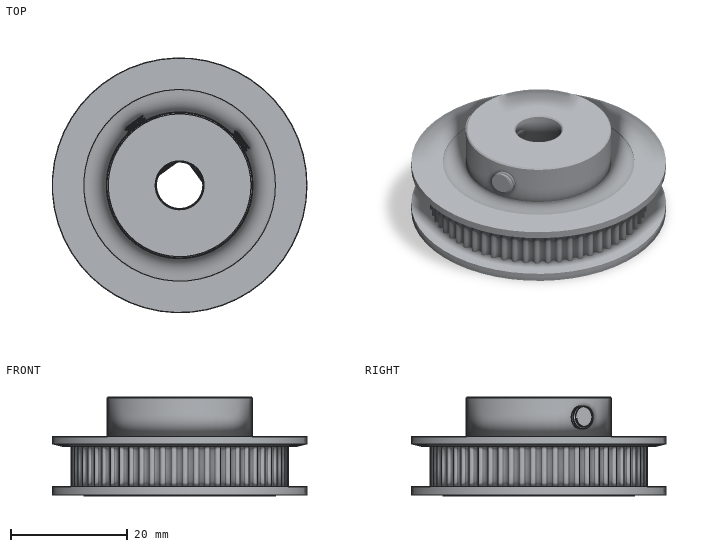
import cadquery as cq
import math

core_diameter = 33.0
core_step = 0.15

flange_diameter = 43.85
lower_flange_top = 1.6
upper_flange_bottom = 8.5
upper_flange_rim_bottom = 8.95
upper_flange_top = 10.18
flange_cone_diameter = 40.35


tooth_count = 60
tooth_tip_diameter = 37.45
tooth_depth = 0.75

hub_diameter = 25.0
hub_top = 17.0
bore_diameter = 8.0
edge_chamfer = 0.2
hub_base_chamfer = 0.15

screw_angles = (36.0, 126.0)
screw_height = 13.45
screw_hole_diameter = 4.0
thread_diameter = 3.9
screw_core_diameter = 3.1
screw_inner_end = 3.5
screw_outer_end = 13.45
screw_length = screw_outer_end - screw_inner_end
thread_pitch = 0.7
thread_root_width = 0.55
thread_crest_width = 0.18
thread_embed = 0.1
thread_start_angle = 180.0


def disc(diameter, bottom, top):
    """Plain cylinder on the Z axis between two heights."""
    return cq.Workplane("XY").workplane(offset=bottom).circle(diameter / 2).extrude(top - bottom)


def rim_point(radius, pitches):
    """Point on the rim, counted in tooth pitches from the groove at the -Y side."""
    angle = 2 * math.pi * pitches / tooth_count - math.pi / 2
    return (radius * math.cos(angle), radius * math.sin(angle))


def make_toothed_rim():
    """Timing-belt rim: each pitch is one groove arc followed by one tooth arc."""
    tip_radius = tooth_tip_diameter / 2
    root_radius = tip_radius - tooth_depth
    flank_radius = (tip_radius + root_radius) / 2
    profile = cq.Workplane("XY").workplane(offset=lower_flange_top)
    profile = profile.moveTo(*rim_point(flank_radius, -0.25))
    for groove in range(tooth_count):
        profile = profile.threePointArc(
            rim_point(root_radius, groove), rim_point(flank_radius, groove + 0.25)
        )
        profile = profile.threePointArc(
            rim_point(tip_radius, groove + 0.5), rim_point(flank_radius, groove + 0.75)
        )
    return profile.close().extrude(upper_flange_bottom - lower_flange_top)


def make_lower_flange():
    """Flat flange with a thin round step standing out below it."""
    flange = disc(flange_diameter, core_step, lower_flange_top)
    return flange.union(disc(core_diameter, 0, core_step))


def make_upper_flange():
    """Flange with a conical underside and a shallow round recess sunk in its top."""
    flange = (
        cq.Workplane("XZ")
        .moveTo(0, upper_flange_bottom)
        .lineTo(flange_cone_diameter / 2, upper_flange_bottom)
        .lineTo(flange_diameter / 2, upper_flange_rim_bottom)
        .lineTo(flange_diameter / 2, upper_flange_top)
        .lineTo(0, upper_flange_top)
        .close()
        .revolve(360, (0, 0, 0), (0, 1, 0))
    )
    return flange.cut(disc(core_diameter, upper_flange_top - core_step, upper_flange_top))


def place_on_screw_axis(shape, angle):
    """Move a shape built along +Z from the origin onto the radial axis of a set screw."""
    lying = shape.rotate((0, 0, 0), (0, 1, 0), 90)
    return lying.translate((0, 0, screw_height)).rotate((0, 0, 0), (0, 0, 1), angle)


def make_hub_base(bottom):
    """45 degree cone that widens the foot of the hub."""
    foot_radius = hub_diameter / 2 + hub_base_chamfer
    foot = cq.Workplane("XY").workplane(offset=bottom).circle(foot_radius)
    return foot.extrude(hub_base_chamfer, taper=45)


def make_pulley():
    """Flanges, toothed rim and hub in one piece, with the bore and the set screw holes."""
    hub_bottom = upper_flange_top - core_step
    hub = disc(hub_diameter, hub_bottom, hub_top).faces(">Z").chamfer(edge_chamfer)
    hub = hub.union(make_hub_base(hub_bottom))
    pulley = make_toothed_rim().union(make_lower_flange()).union(make_upper_flange()).union(hub)

    bore = disc(bore_diameter, 0, hub_top)
    pulley = pulley.cut(bore)
    bore_edges = cq.selectors.RadiusNthSelector(0)
    pulley = pulley.faces("<Z or >Z").edges(bore_edges).chamfer(edge_chamfer)

    screw_hole = disc(screw_hole_diameter, 0, hub_diameter / 2)
    for angle in screw_angles:
        pulley = pulley.cut(place_on_screw_axis(screw_hole, angle))
    return pulley


def make_screw():
    """Set screw along +Z, its thread running out past both ends and cut off square there."""
    core_radius = screw_core_diameter / 2
    root_radius = core_radius - thread_embed
    crest_radius = thread_diameter / 2
    thread_height = screw_length + 2 * thread_pitch
    helix = cq.Wire.makeHelix(thread_pitch, thread_height, core_radius)
    thread = (
        cq.Workplane("XZ")
        .moveTo(root_radius, -thread_root_width / 2)
        .lineTo(crest_radius, -thread_crest_width / 2)
        .lineTo(crest_radius, thread_crest_width / 2)
        .lineTo(root_radius, thread_root_width / 2)
        .close()
        .sweep(cq.Workplane(obj=helix), isFrenet=True)
        .translate((0, 0, screw_inner_end - thread_pitch))
    )
    core = disc(screw_core_diameter, screw_inner_end, screw_outer_end)
    envelope = disc(screw_hole_diameter, screw_inner_end, screw_outer_end)
    screw = core.union(thread.intersect(envelope))
    return screw.rotate((0, 0, 0), (0, 0, 1), thread_start_angle)


pulley = make_pulley()
screw = make_screw()
set_screws = [place_on_screw_axis(screw, angle) for angle in screw_angles]

result = cq.Compound.makeCompound([pulley.val(), *[placed.val() for placed in set_screws]])